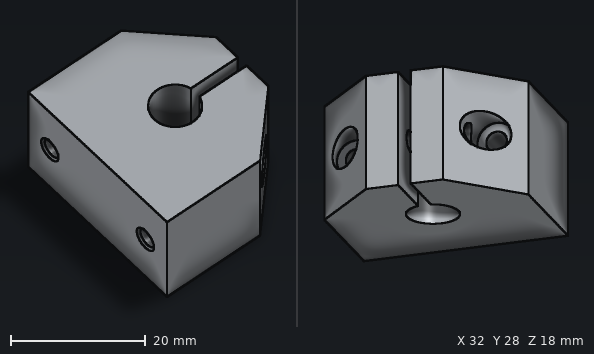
import cadquery as cq

width = 32.0
depth = 28.0
height = 18.0
corner_cut = 10.0

bore_diameter = 8.0
bore_from_front = 15.0
slot_width = 2.0

screw_hole_diameter = 3.23
relief_diameter = 6.0
countersink_diameter = 4.0
countersink_depth = (countersink_diameter - screw_hole_diameter) / 2
clamp_hole_from_back = 5.5

mid_height = height / 2
shoulder_y = depth - corner_cut
mounting_hole_x = (width - corner_cut) / 2


def cylinder_along(direction, start, diameter, length):
    """Return a cylinder that runs from its start point along a direction."""
    solid = cq.Solid.makeCylinder(diameter / 2, length, cq.Vector(*start), cq.Vector(*direction))
    return cq.Workplane(solid)


def block():
    """Return the block with both back corners cut at 45 degrees."""
    return (
        cq.Workplane("XY")
        .center(0, depth / 2)
        .box(width, depth, height, centered=(True, True, False))
        .edges("|Z and >Y")
        .chamfer(corner_cut)
    )


def bore_and_slot():
    """Return the vertical bore joined to the slot that splits the back."""
    bore = cylinder_along((0, 0, 1), (0, bore_from_front, 0), bore_diameter, height)
    slot_length = depth - bore_from_front
    slot = (
        cq.Workplane("XY")
        .center(0, bore_from_front + slot_length / 2)
        .rect(slot_width, slot_length)
        .extrude(height)
    )
    return bore.union(slot)


def mounting_hole(x):
    """Return a through hole along Y, countersunk in front and widened behind."""
    hole = cylinder_along((0, 1, 0), (x, 0, mid_height), screw_hole_diameter, depth)
    relief = cylinder_along((0, 1, 0), (x, shoulder_y, mid_height), relief_diameter, corner_cut)
    countersink = cq.Solid.makeCone(
        countersink_diameter / 2,
        screw_hole_diameter / 2,
        countersink_depth,
        cq.Vector(x, 0, mid_height),
        cq.Vector(0, 1, 0),
    )
    return hole.union(relief).union(cq.Workplane(countersink))


def clamp_hole():
    """Return the hole along X that crosses both jaws and the slot."""
    start = (-width / 2, depth - clamp_hole_from_back, mid_height)
    return cylinder_along((1, 0, 0), start, screw_hole_diameter, width)


result = block().cut(bore_and_slot())
for side in (-1, 1):
    result = result.cut(mounting_hole(side * mounting_hole_x))
result = result.cut(clamp_hole())